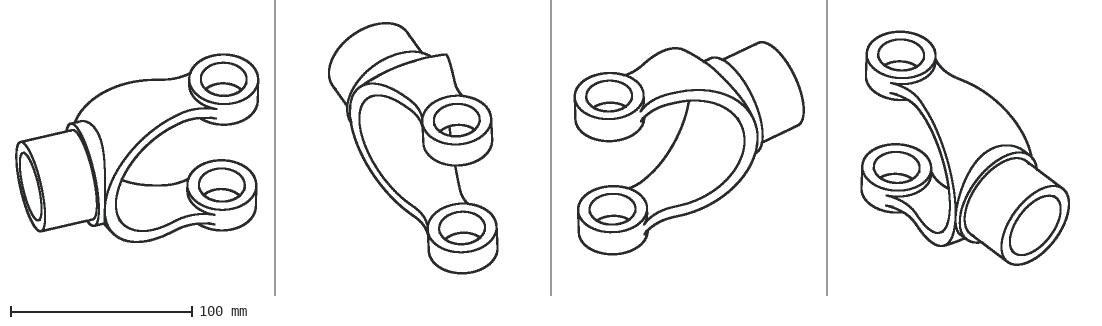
import cadquery as cq
import math


total_length = 130.7
lug_radius = 19.1
lug_hole_radius = 12.7
lug_height = 16.5
lug_span = 100.5
arm_thickness = 7.6
collar_radius = 29.0
tube_radius = 25.4
bore_radius = 19.1
tube_length = 30.0
neck_radius = 26.1
neck_contact_angle = 30.5
bow_axis_y = 10.5
bow_start = 37.0
tilt_angle = 2.26

lug_outer_z = lug_span / 2
arm_outer_radius = lug_outer_z - (lug_height - arm_thickness) / 2
arm_inner_radius = arm_outer_radius - arm_thickness
tube_end_y = lug_radius - total_length
shoulder_y = tube_end_y + tube_length
bow_center = bow_axis_y + bow_start


def dome(radius):
    """Flat-topped solid of revolution about the bow axis with a half-round rim."""
    return (
        cq.Workplane("XZ", origin=(0, bow_axis_y, 0))
        .moveTo(0, -radius)
        .lineTo(bow_center, -radius)
        .threePointArc((bow_center + radius, 0), (bow_center, radius))
        .lineTo(0, radius)
        .close()
        .revolve(360, (0, 0, 0), (0, 1, 0))
    )


def arm_plan():
    """Tapered plan of the arm, extruded through its full height."""
    contact = math.radians(neck_contact_angle)
    center_x = (lug_radius + neck_radius) * math.cos(contact)
    center_y = -(lug_radius + neck_radius) * math.sin(contact)
    start = (lug_radius * math.cos(contact), -lug_radius * math.sin(contact))

    rim_radius = bow_center + arm_outer_radius
    corner = (collar_radius, bow_axis_y - math.sqrt(rim_radius**2 - collar_radius**2))

    dx = corner[0] - center_x
    dy = corner[1] - center_y
    tangent_direction = math.atan2(dy, dx) - math.acos(neck_radius / math.hypot(dx, dy))

    def neck_point(direction):
        return (
            center_x + neck_radius * math.cos(direction),
            center_y + neck_radius * math.sin(direction),
        )

    middle = neck_point(math.pi)
    tangent = neck_point(tangent_direction)

    def mirrored(point):
        return (-point[0], point[1])

    return (
        cq.Workplane("XY")
        .workplane(offset=-lug_outer_z)
        .moveTo(*start)
        .threePointArc(middle, tangent)
        .lineTo(*corner)
        .threePointArc((0, bow_axis_y - rim_radius), mirrored(corner))
        .lineTo(*mirrored(tangent))
        .threePointArc(mirrored(middle), mirrored(start))
        .close()
        .extrude(lug_span)
    )


def along_tube(radius, start_y, end_y):
    """Cylinder on the tube axis, running from start_y towards -Y."""
    return cq.Workplane("XZ", origin=(0, start_y, 0)).circle(radius).extrude(start_y - end_y)


def lug_cylinder(radius, bottom_z, height):
    return cq.Workplane("XY").workplane(offset=bottom_z).circle(radius).extrude(height)


outer_dome = dome(arm_outer_radius)
arm = outer_dome.intersect(arm_plan()).cut(dome(arm_inner_radius))
collar = along_tube(collar_radius, -bow_start, shoulder_y).cut(outer_dome)
yoke = arm.union(collar)

for bottom_z in (-lug_outer_z, lug_outer_z - lug_height):
    yoke = yoke.union(lug_cylinder(lug_radius, bottom_z, lug_height))
yoke = yoke.cut(lug_cylinder(lug_hole_radius, -lug_outer_z, lug_span))

yoke = yoke.union(along_tube(tube_radius, shoulder_y, tube_end_y))
yoke = yoke.cut(along_tube(bore_radius, shoulder_y, tube_end_y))

result = yoke.rotate((0, 0, 0), (0, 1, 0), tilt_angle)